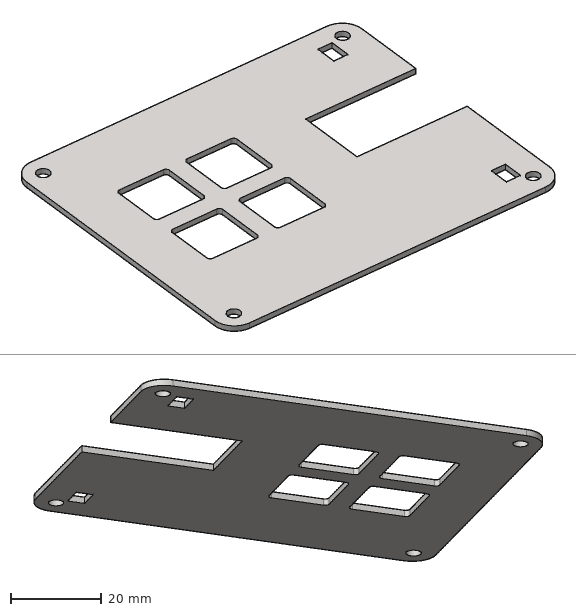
import cadquery as cq

width = 78.0
length = 94.3
thickness = 1.5
corner_radius = 5.5

hole_diameter = 3.4
hole_inset = 5.0

notch_left = 24.8
notch_width = 18.3
notch_depth = 31.0

window_size = 14.15
window_radius = 0.9
window_pitch = 19.1
grid_center_x = 37.1
grid_center_y = 30.0

slot_height = 4.0
left_slot_width = 5.7
left_slot_x = 8.5
left_slot_drop = 10.5
right_slot_width = 5.4
right_slot_x = 68.4
right_slot_drop = 9.1


def through_box(box_width, box_length, center_x, center_y):
    """Rectangular cutter that spans the plate thickness."""
    cutter = cq.Workplane("XY").box(box_width, box_length, thickness, centered=(True, True, False))
    return cutter.translate((center_x, center_y, 0))


plate = through_box(width, length, width / 2, length / 2).edges("|Z").fillet(corner_radius)

holes = (
    cq.Workplane("XY")
    .center(width / 2, length / 2)
    .rect(width - 2 * hole_inset, length - 2 * hole_inset, forConstruction=True)
    .vertices()
    .circle(hole_diameter / 2)
    .extrude(thickness)
)
plate = plate.cut(holes)

plate = plate.cut(
    through_box(notch_width, notch_depth, notch_left + notch_width / 2, length - notch_depth / 2)
)

for side_x in (-1, 1):
    for side_y in (-1, 1):
        window_x = grid_center_x + side_x * window_pitch / 2
        window_y = grid_center_y + side_y * window_pitch / 2
        window = through_box(window_size, window_size, window_x, window_y)
        plate = plate.cut(window.edges("|Z").fillet(window_radius))

plate = plate.cut(through_box(left_slot_width, slot_height, left_slot_x, length - left_slot_drop))
plate = plate.cut(through_box(right_slot_width, slot_height, right_slot_x, length - right_slot_drop))

result = plate